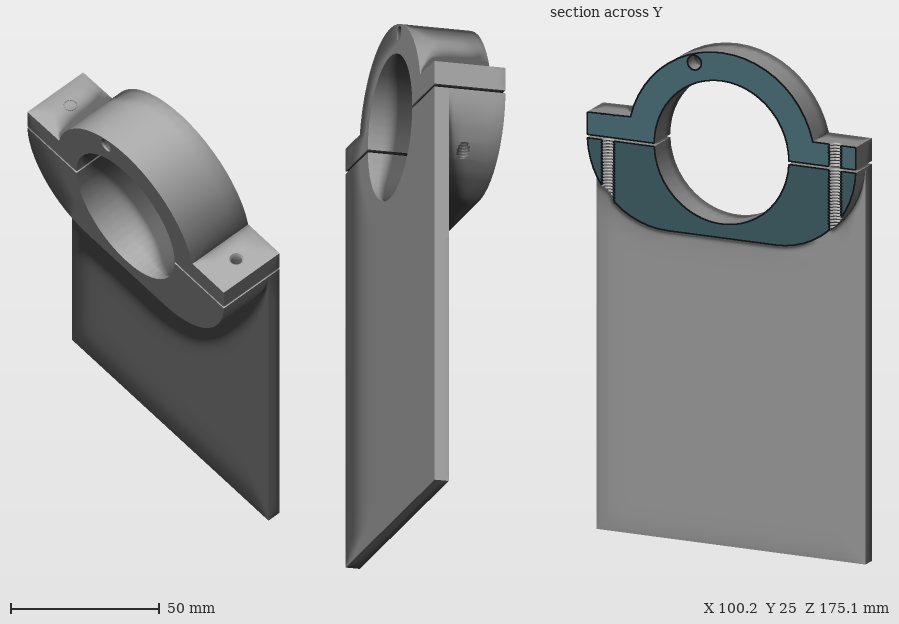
import cadquery as cq
import math

width = 100.19
depth = 25.0
bore_radius = 25.0
left_x = -width / 2
right_x = width / 2
back_y = depth / 2

cap_radius = 35.0
cap_bottom_z = 0.0
ear_top_z = 8.0
left_ear_rise = 0.35
outlet_diameter = 5.0
outlet_x = -10.1
outlet_z = 30.2

saddle_top_z = -1.0
saddle_corner_radius = 30.0
plate_thickness = 5.0
plate_bottom_z = -140.1

screw_spacing = 84.6
thread_major_diameter = 4.83
thread_minor_diameter = 3.82
thread_pitch = 25.4 / 24
left_groove_depth = 0.2


def cylinder_along_y(radius, x=0.0, z=0.0):
    """Cylinder as long as the clamp depth, with its axis along Y."""
    return (
        cq.Workplane("XZ", origin=(x, back_y, z))
        .circle(radius)
        .extrude(depth)
    )


def threaded_hole(x, bottom_z, top_z):
    """Cutter for a vertical threaded hole, its thread modelled as a stack of V-shaped rings."""
    minor_radius = thread_minor_diameter / 2
    major_radius = thread_major_diameter / 2
    turns = math.ceil((top_z - bottom_z) / thread_pitch)
    profile = cq.Workplane("XZ").moveTo(0, 0).lineTo(major_radius, 0)
    for turn in range(turns):
        profile = profile.lineTo(minor_radius, -(turn + 0.5) * thread_pitch)
        profile = profile.lineTo(major_radius, -(turn + 1) * thread_pitch)
    profile = profile.lineTo(0, -turns * thread_pitch).close()
    return profile.revolve(360, (0, 0, 0), (0, 1, 0)).translate((x, 0, top_z))


def make_cap():
    """Half-ring cap with an ear on each side; the left ear rises towards the ring."""
    left_root_z = ear_top_z + left_ear_rise
    left_root_x = -math.sqrt(cap_radius**2 - left_root_z**2)
    right_root_x = math.sqrt(cap_radius**2 - ear_top_z**2)
    cap = (
        cq.Workplane("XZ", origin=(0, back_y, 0))
        .moveTo(left_x, cap_bottom_z)
        .lineTo(left_x, ear_top_z)
        .lineTo(left_root_x, left_root_z)
        .threePointArc((0, cap_radius), (right_root_x, ear_top_z))
        .lineTo(right_x, ear_top_z)
        .lineTo(right_x, cap_bottom_z)
        .close()
        .extrude(depth)
    )
    cap = cap.cut(cylinder_along_y(bore_radius))
    cap = cap.cut(cylinder_along_y(outlet_diameter / 2, outlet_x, outlet_z))

    screw_x = screw_spacing / 2
    cap = cap.cut(threaded_hole(screw_x, cap_bottom_z, ear_top_z))

    slope_run = left_root_x - left_x
    groove_z = ear_top_z + left_ear_rise * (-screw_x - left_x) / slope_run
    sloping_top = cq.Plane(
        origin=(-screw_x, 0, groove_z),
        xDir=(slope_run, 0, left_ear_rise),
        normal=(-left_ear_rise, 0, slope_run),
    )
    groove = (
        cq.Workplane(sloping_top)
        .circle(thread_major_diameter / 2)
        .circle(thread_minor_diameter / 2)
        .extrude(-left_groove_depth)
    )
    return cap.cut(groove)


def make_base():
    """Saddle block, its corner arcs centred level with the bore axis, joined to the plate behind it."""
    corner_x = right_x - saddle_corner_radius
    top_half_width = corner_x + math.sqrt(saddle_corner_radius**2 - saddle_top_z**2)
    diagonal = saddle_corner_radius * math.sqrt(0.5)
    saddle = (
        cq.Workplane("XZ", origin=(0, back_y, 0))
        .moveTo(-top_half_width, saddle_top_z)
        .threePointArc((-corner_x - diagonal, -diagonal), (-corner_x, -saddle_corner_radius))
        .lineTo(corner_x, -saddle_corner_radius)
        .threePointArc((corner_x + diagonal, -diagonal), (top_half_width, saddle_top_z))
        .close()
        .extrude(depth)
    )
    plate = (
        cq.Workplane("XY", origin=(0, back_y - plate_thickness / 2, plate_bottom_z))
        .box(width, plate_thickness, saddle_top_z - plate_bottom_z, centered=(True, True, False))
    )
    base = saddle.union(plate).cut(cylinder_along_y(bore_radius))
    for screw_x in (-screw_spacing / 2, screw_spacing / 2):
        base = base.cut(threaded_hole(screw_x, -saddle_corner_radius, saddle_top_z))
    return base


cap = make_cap()
base = make_base()

result = cq.Compound.makeCompound([cap.val(), base.val()])